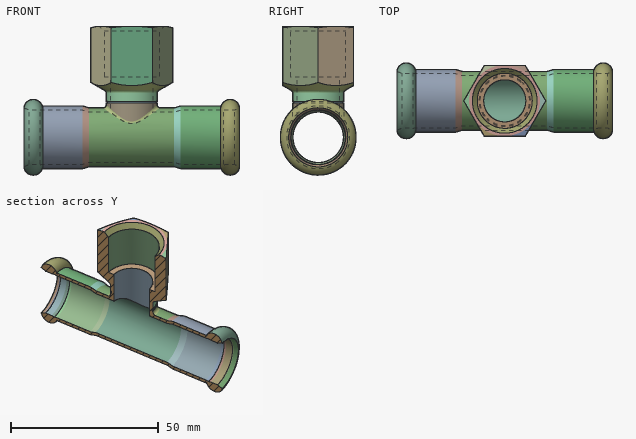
import cadquery as cq
import math

run_length = 73.0
half_run = run_length / 2
top_z = 37.5

neck_radius = 10.0
socket_radius = 10.65
run_bore_radius = 8.505
socket_bore_radius = 9.16
socket_inner_x = 16.6
neck_end_x = 14.4

bead_outer_radius = 12.85
bead_width = 6.4
mouth_radius = 10.0
groove_floor_radius = 9.35
mouth_depth = 1.45
mouth_chamfer = 0.4
seal_depth = 4.4
seal_groove_flank = 1.0

branch_radius = 8.65
branch_bore_radius = 7.12
branch_fillet = 1.0
groove_z = 11.8
groove_width = 0.6
groove_depth = 0.3

hex_flats = 24.0
hex_corner_radius = hex_flats / math.sqrt(3)
corner_bottom_z = 18.55
bottom_angle = math.radians(30)
top_chamfer_angle = math.radians(15)
neck_fillet = 0.9
nut_bore_radius = 9.31
nut_mouth_radius = 10.95
nut_floor_z = 20.45


def revolve_about_x(points):
    """Revolve a closed outline of (x, radius) points about the run axis."""
    return cq.Workplane("XY").polyline(points).close().revolve(360, (0, 0, 0), (1, 0, 0))


def revolve_about_z(points):
    """Revolve a closed outline of (radius, z) points about the branch axis."""
    return cq.Workplane("XZ").polyline(points).close().revolve(360, (0, 0, 0), (0, 1, 0))


def make_socket():
    """Outer body of the +X socket, from its tapered shoulder to its bead."""
    bead_inner_x = half_run - bead_width
    bead_crown = (half_run - bead_width / 2, bead_outer_radius)
    return (
        cq.Workplane("XY")
        .moveTo(neck_end_x, 0)
        .lineTo(neck_end_x, neck_radius)
        .lineTo(socket_inner_x, socket_radius)
        .lineTo(bead_inner_x, socket_radius)
        .lineTo(bead_inner_x, mouth_radius)
        .threePointArc(bead_crown, (half_run, mouth_radius))
        .lineTo(half_run, 0)
        .close()
        .revolve(360, (0, 0, 0), (1, 0, 0))
    )


def make_socket_bore():
    """Stepped bore of the +X socket with its flared mouth and shallow V-groove behind the seal."""
    seal_start_x = half_run - mouth_depth
    seal_end_x = half_run - seal_depth
    return revolve_about_x([
        (neck_end_x, 0),
        (neck_end_x, run_bore_radius),
        (socket_inner_x, socket_bore_radius),
        (seal_end_x - 2 * seal_groove_flank, socket_bore_radius),
        (seal_end_x - seal_groove_flank, groove_floor_radius),
        (seal_end_x, socket_bore_radius),
        (seal_start_x - mouth_chamfer, socket_bore_radius),
        (seal_start_x, groove_floor_radius),
        (half_run, mouth_radius),
        (half_run, 0),
    ])


def make_nut():
    """Hexagonal nut with conical ends, joined to its round collar."""
    collar_top_z = corner_bottom_z - (hex_corner_radius - branch_radius) * math.tan(bottom_angle)
    top_drop = (hex_corner_radius - hex_flats / 2) * math.tan(top_chamfer_angle)
    hexagon = (
        cq.Workplane("XY")
        .workplane(offset=groove_z)
        .polygon(6, 2 * hex_corner_radius)
        .extrude(top_z - groove_z)
    )
    envelope = revolve_about_z([
        (0, groove_z),
        (branch_radius, groove_z),
        (branch_radius, collar_top_z),
        (hex_corner_radius, corner_bottom_z),
        (hex_corner_radius, top_z - top_drop),
        (hex_flats / 2, top_z),
        (0, top_z),
    ])
    collar_corner = cq.selectors.BoxSelector(
        (-hex_flats, -hex_flats, collar_top_z - neck_fillet),
        (hex_flats, hex_flats, collar_top_z + neck_fillet),
        boundingbox=False,
    )
    return hexagon.intersect(envelope).edges(collar_corner).edges("%CIRCLE").fillet(neck_fillet)


def make_branch_groove():
    """Narrow square groove at the joint between the branch and the nut collar."""
    half_width = groove_width / 2
    return revolve_about_z([
        (branch_radius, groove_z - half_width),
        (branch_radius - groove_depth, groove_z - half_width),
        (branch_radius - groove_depth, groove_z + half_width),
        (branch_radius, groove_z + half_width),
    ])


def make_branch_bore():
    """Stepped bore from the nut mouth down to the run axis."""
    countersink_z = top_z - (nut_mouth_radius - nut_bore_radius)
    return revolve_about_z([
        (0, 0),
        (branch_bore_radius, 0),
        (branch_bore_radius, nut_floor_z),
        (nut_bore_radius, nut_floor_z),
        (nut_bore_radius, countersink_z),
        (nut_mouth_radius, top_z),
        (0, top_z),
    ])


run_neck = cq.Workplane("YZ").circle(neck_radius).extrude(neck_end_x, both=True)
branch = cq.Workplane("XY").circle(branch_radius).extrude(groove_z)
junction = cq.selectors.BoxSelector(
    (-branch_radius, -branch_radius, neck_radius / 4),
    (branch_radius, branch_radius, (neck_radius + groove_z) / 2),
    boundingbox=False,
)
tee = run_neck.union(branch).edges(junction).fillet(branch_fillet)

body = tee.union(make_nut()).cut(make_branch_groove())
socket = make_socket()
socket_bore = make_socket_bore()
body = body.union(socket).union(socket.mirror("YZ"))
run_bore = cq.Workplane("YZ").circle(run_bore_radius).extrude(neck_end_x, both=True)
body = body.cut(run_bore).cut(socket_bore).cut(socket_bore.mirror("YZ"))
result = body.cut(make_branch_bore())